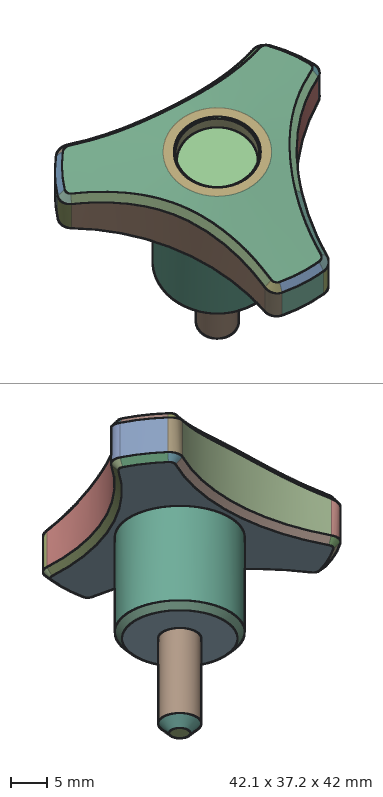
import cadquery as cq
import math

head_height = 11.0
rim_height = 7.5
boss_length = 15.97
stud_length = 15.0

arm_count = 3
arm_reach = 22.45
waist_radius = 11.0
flute_radius = 33.7
corner_radius = 2.0
edge_chamfer = 1.0

crown_diameter = 15.0
boss_diameter = 18.0
stud_diameter = 6.0
boss_chamfer = 1.0
stud_tip_chamfer = 1.5

recess_diameter = 12.0
recess_floor_diameter = 11.15
recess_depth = 2.0
recess_bevel = 0.2


def make_blank():
    """Turned disc with a conical top running up to a flat crown."""
    profile = (
        cq.Workplane("XZ")
        .lineTo(arm_reach, 0)
        .lineTo(arm_reach, rim_height)
        .lineTo(crown_diameter / 2, head_height)
        .lineTo(0, head_height)
        .close()
    )
    return profile.revolve(360, (0, 0, 0), (0, 1, 0))


def make_head():
    """Disc cut by round flutes that leave the arms, with broken edges."""
    head = make_blank()
    flute_distance = waist_radius + flute_radius
    for index in range(arm_count):
        angle = math.radians(-90 + index * 360 / arm_count)
        flute = (
            cq.Workplane("XY")
            .center(flute_distance * math.cos(angle), flute_distance * math.sin(angle))
            .circle(flute_radius)
            .extrude(head_height)
        )
        head = head.cut(flute)
    head = head.edges("|Z").fillet(corner_radius)
    head = head.faces("<Z").edges().chamfer(edge_chamfer)
    return head.faces("%CONE").edges("not %CIRCLE").chamfer(edge_chamfer)


def make_boss():
    """Round boss below the head."""
    boss = cq.Workplane("XY").circle(boss_diameter / 2).extrude(-boss_length)
    return boss.faces("<Z").chamfer(boss_chamfer)


def make_stud():
    """Plain stud below the boss, with a tapered tip."""
    stud = (
        cq.Workplane("XY", origin=(0, 0, -boss_length))
        .circle(stud_diameter / 2)
        .extrude(-stud_length)
    )
    return stud.faces("<Z").chamfer(stud_tip_chamfer)


def make_recess():
    """Shallow recess cutter with a tapered wall and a bevelled mouth."""
    floor_height = head_height - recess_depth
    profile = (
        cq.Workplane("XZ", origin=(0, 0, floor_height))
        .lineTo(recess_floor_diameter / 2, 0)
        .lineTo(recess_diameter / 2 - recess_bevel, recess_depth - recess_bevel)
        .lineTo(recess_diameter / 2, recess_depth)
        .lineTo(0, recess_depth)
        .close()
    )
    return profile.revolve(360, (0, 0, 0), (0, 1, 0))


result = make_head().union(make_boss()).union(make_stud()).cut(make_recess())